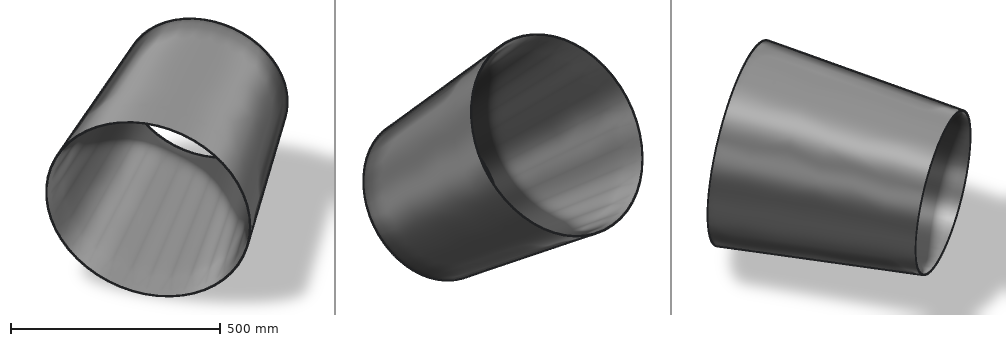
import cadquery as cq

large_diameter = 508.0
small_diameter = 406.0
length = 508.0
wall = 2.0

large_radius = large_diameter / 2
small_radius = small_diameter / 2
half_length = length / 2

wall_section = [
    (large_radius - wall, -half_length),
    (large_radius, -half_length),
    (small_radius, half_length),
    (small_radius - wall, half_length),
]

result = cq.Workplane("XY").polyline(wall_section).close().revolve(360, (0, 0, 0), (0, 1, 0))